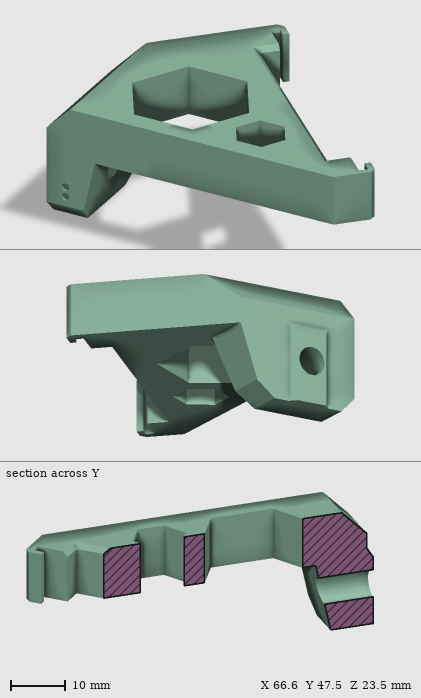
import cadquery as cq
import math


ROOT2 = math.sqrt(2)

total_height = 23.5
plate_thickness = 10.0
plate_bottom = total_height - plate_thickness
front_length = 60.34
side_length = 24.66
right_limit = 65.39
rear_limit = 47.52
top_bevel = 5.0

holder_middle = 12.94
slot_length = 56.2
hook_gap = 52.4
recess_length = 44.4
hook_outer = 50.87
hook_thickness = 1.2
slot_width = 1.8
recess_depth = 4.0
recess_bevel = 1.0
slot_outer = hook_outer - hook_thickness
shelf = slot_outer - slot_width
recess_floor = shelf - recess_depth
slot_bevel = 0.5

window_margin = 4.0
large_window_flats = 21.3
large_window_x = 22.4
small_window_flats = 9.0
small_window_x = 40.4

leg_top_width = 10.15
leg_bottom_width = 7.2
corner_height = 3.0
front_corner = 2.8
rear_corner_y = 21.1
rear_foot_y = 17.3

tongue_y = 10.0
tongue_height = 1.25
tongue_crest_width = 6.0
tongue_base_width = 8.5
tongue_crest_top = 13.5
tongue_base_top = 15.5
screw_hole_diameter = 5.4
screw_hole_z = 8.2
screw_hole_flank_angle = math.radians(30)

pin_diameter = 1.5
pin_x = 4.0
pin_heights = (5.0, 7.0)
pin_depth = 0.5


def holder_point(u, v):
    """Turn a place along (u) and square to (v) the slanted edge into X and Y."""
    return ((v + u) / ROOT2, (v - u) / ROOT2)


def holder_box(length, v_start, v_end):
    """Full-height cutter centred on the holder, as long as given along the slanted edge."""
    u_start = holder_middle - length / 2
    u_end = holder_middle + length / 2
    corners = [(u_start, v_start), (u_end, v_start), (u_end, v_end), (u_start, v_end)]
    return (
        cq.Workplane("XY")
        .workplane(offset=plate_bottom)
        .polyline([holder_point(u, v) for u, v in corners])
        .close()
        .extrude(plate_thickness)
    )


def make_plate():
    hook_line = hook_outer * ROOT2
    outline = [
        (0, 0),
        (front_length, 0),
        (right_limit, right_limit - front_length),
        (right_limit, hook_line - right_limit),
        (hook_line - rear_limit, rear_limit),
        (rear_limit - side_length, rear_limit),
        (0, side_length),
    ]
    base = cq.Workplane("XY").workplane(offset=plate_bottom)
    return base.polyline(outline).close().extrude(plate_thickness)


def flared_cutter(length, v_start, v_end, bevel, floor_bevel):
    """Holder cutter that widens upwards: by (bevel) at its ends, by (floor_bevel) at its floor."""

    def section(growth, floor_growth, z):
        u_start = holder_middle - length / 2 - growth
        u_end = holder_middle + length / 2 + growth
        v_floor = v_start - floor_growth
        corners = [(u_start, v_floor), (u_end, v_floor), (u_end, v_end), (u_start, v_end)]
        points = [cq.Vector(*holder_point(u, v), z) for u, v in corners]
        return cq.Wire.makePolygon(points, close=True)

    straight = section(0, 0, total_height - bevel)
    widened = section(bevel, floor_bevel, total_height)
    flare = cq.Solid.makeLoft([straight, widened], True)
    return holder_box(length, v_start, v_end).union(cq.Workplane(obj=flare))


def make_window(flats, x):
    """Hexagonal window whose lower flat lies on the common margin."""
    return (
        cq.Workplane("XY")
        .center(x, window_margin + flats / 2)
        .polygon(6, flats / math.cos(math.pi / 6))
        .extrude(total_height)
    )


def make_leg():
    side_profile = [(0, 0), (leg_bottom_width, 0), (leg_top_width, plate_bottom), (0, plate_bottom)]
    end_profile = [
        (front_corner, 0),
        (rear_foot_y, 0),
        (rear_corner_y, corner_height),
        (side_length, plate_bottom),
        (0, plate_bottom),
        (0, corner_height),
    ]
    side = cq.Workplane("XZ").polyline(side_profile).close().extrude(-side_length)
    end = cq.Workplane("YZ").polyline(end_profile).close().extrude(leg_top_width)
    return side.intersect(end)


def make_top_bevel():
    profile = [(0, total_height), (top_bevel, total_height), (0, total_height - top_bevel)]
    return cq.Workplane("XZ").polyline(profile).close().extrude(-rear_limit)


def make_tongue():
    def section(x, width, top):
        y_start = tongue_y - width / 2
        y_end = tongue_y + width / 2
        corners = [(y_start, 0), (y_end, 0), (y_end, top), (y_start, top)]
        return cq.Wire.makePolygon([cq.Vector(x, y, z) for y, z in corners], close=True)

    base = section(0, tongue_base_width, tongue_base_top)
    crest = section(-tongue_height, tongue_crest_width, tongue_crest_top)
    return cq.Workplane(obj=cq.Solid.makeLoft([base, crest], True))


def make_screw_hole():
    """Round bore whose lower side is squared off by a flat and two sloping flanks."""
    radius = screw_hole_diameter / 2
    tangent_y = radius * math.sin(screw_hole_flank_angle)
    tangent_z = -radius * math.cos(screw_hole_flank_angle)
    half_flat = radius * math.tan(screw_hole_flank_angle / 2)
    return (
        cq.Workplane("YZ")
        .workplane(offset=-tongue_height)
        .center(tongue_y, screw_hole_z)
        .moveTo(-tangent_y, tangent_z)
        .threePointArc((0, radius), (tangent_y, tangent_z))
        .lineTo(half_flat, -radius)
        .lineTo(-half_flat, -radius)
        .close()
        .extrude(tongue_height + leg_top_width)
    )


def make_pin_holes():
    centres = [(pin_x, z) for z in pin_heights]
    return cq.Workplane("XZ").pushPoints(centres).circle(pin_diameter / 2).extrude(-pin_depth)


def make_holder_cutters():
    """Opening between the hook tips, slot behind the tips, and recess behind the slot."""
    gap = holder_box(hook_gap, shelf, hook_outer)
    slot = flared_cutter(slot_length, shelf, slot_outer, slot_bevel, 0)
    recess = flared_cutter(recess_length, recess_floor, hook_outer, recess_bevel, recess_bevel)
    return [gap, slot, recess]


windows = [
    make_window(large_window_flats, large_window_x),
    make_window(small_window_flats, small_window_x),
]
plate = make_plate()
for cutter in make_holder_cutters() + windows:
    plate = plate.cut(cutter)

body = plate.union(make_leg()).cut(make_top_bevel()).union(make_tongue())
result = body.cut(make_screw_hole()).cut(make_pin_holes())